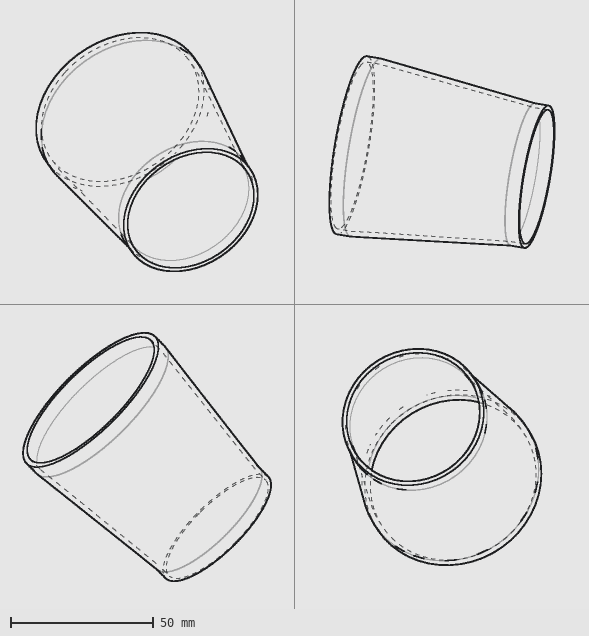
import cadquery as cq

length = 67.0
collar_length = 5.0
large_diameter = 63.5
small_diameter = 50.8
large_bore = 59.5
small_bore = 47.8
blend_radius = 2.0

large_radius = large_diameter / 2
small_radius = small_diameter / 2
large_bore_radius = large_bore / 2
small_bore_radius = small_bore / 2
taper_end = length - collar_length


def stepped_cone(start_radius, end_radius):
    """Solid of revolution: a cylinder at each end and a straight cone between them."""
    half_section = (
        cq.Workplane("XY")
        .lineTo(0, start_radius)
        .lineTo(collar_length, start_radius)
        .lineTo(taper_end, end_radius)
        .lineTo(length, end_radius)
        .lineTo(length, 0)
        .close()
    )
    return half_section.revolve(360, (0, 0, 0), (1, 0, 0))


body = stepped_cone(large_radius, small_radius)
collar_edges = body.edges("%CIRCLE").edges(cq.selectors.BoxSelector(
    (collar_length / 2, -length, -length),
    (length - collar_length / 2, length, length),
    boundingbox=False,
))
body = collar_edges.fillet(blend_radius)

bore = stepped_cone(large_bore_radius, small_bore_radius)
result = body.cut(bore)